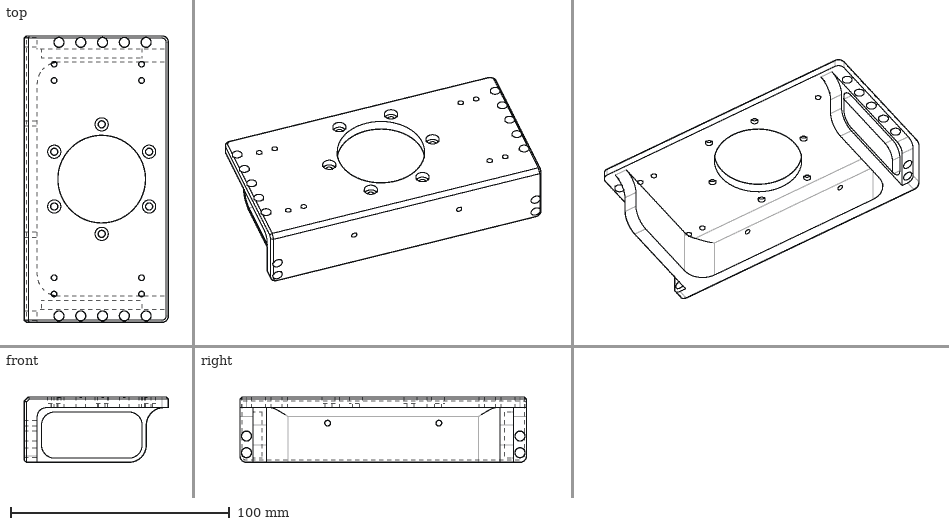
import cadquery as cq
import math

length = 131.0
width = 66.0
height = 30.0
plate_thick = 5.0
wall_thick = 6.0
inner_corner_radius = 4.0
outer_corner_radius = 3.0
ridge_chamfer = 2.0
rim_chamfer = 1.0

gusset_inset = 6.0
gusset_thick = 6.0
gusset_reach = 56.0
gusset_radius = 8.0
gusset_rim = 2.0
pocket_depth = 4.0
wall_blend_radius = 10.0

bore_diameter = 40.0
bore_x = 35.5
ring_radius = 25.0
ring_count = 6
screw_diameter = 3.1
counterbore_diameter = 6.0
counterbore_depth = 3.0

mount_diameter = 4.5
mount_end_distance = 3.0
plate_mount_count = 5
plate_mount_pitch = 10.0
plate_mount_first_x = 16.0
wall_mount_heights = (4.5, 12.0)

pin_diameter = 2.5
plate_pin_xs = (13.8, 53.7)
plate_pin_ys = (45.0, 52.5)
wall_pin_y = 25.4
wall_pin_z = 18.0

half_length = length / 2
plate_underside = height - plate_thick


def make_angle():
    """Plate and wall with rounded corners, the ridge bevel and the outer rim bevel."""
    angle = (
        cq.Workplane("XZ")
        .polyline([
            (0, 0),
            (wall_thick, 0),
            (wall_thick, plate_underside),
            (width, plate_underside),
            (width, height),
            (ridge_chamfer, height),
            (0, height - ridge_chamfer),
        ])
        .close()
        .extrude(half_length, both=True)
    )
    inner_corner = cq.selectors.NearestToPointSelector((wall_thick, 0, plate_underside))
    angle = angle.edges("|Y").edges(inner_corner).fillet(inner_corner_radius)
    angle = angle.faces(">X").edges("|Z").fillet(outer_corner_radius)
    angle = angle.faces("<Z").edges("|X").fillet(outer_corner_radius)

    ridge_face = cq.selectors.NearestToPointSelector((ridge_chamfer / 2, 0, height - ridge_chamfer / 2))
    outer_skin = cq.selectors.StringSyntaxSelector(">Z or <X") + ridge_face
    ridge_edges = cq.selectors.BoxSelector(
        (-rim_chamfer, -rim_chamfer, height - ridge_chamfer - rim_chamfer),
        (ridge_chamfer + rim_chamfer, rim_chamfer, height + rim_chamfer),
    )
    rim = cq.selectors.InverseSelector(ridge_edges)
    return angle.faces(outer_skin).edges(rim).chamfer(rim_chamfer)


def make_gusset():
    """Pocketed gusset at the -Y end, blended into the wall on its inner side."""
    outer_face = -half_length + gusset_inset
    inner_face = outer_face + gusset_thick
    wall_middle = wall_thick / 2
    plate_middle = height - plate_thick / 2
    profile = (
        cq.Workplane("XZ", origin=(0, outer_face, 0))
        .moveTo(wall_middle, 0)
        .lineTo(gusset_reach - gusset_radius, 0)
        .radiusArc((gusset_reach, gusset_radius), -gusset_radius)
        .lineTo(gusset_reach, plate_underside - gusset_radius)
        .radiusArc((gusset_reach + gusset_radius, plate_underside), gusset_radius)
        .lineTo(gusset_reach + gusset_radius, plate_middle)
        .lineTo(wall_middle, plate_middle)
        .close()
    )
    plain = profile.extrude(-gusset_thick)

    blend = (
        cq.Workplane("XY")
        .moveTo(wall_thick, inner_face)
        .lineTo(wall_thick + wall_blend_radius, inner_face)
        .radiusArc((wall_thick, inner_face + wall_blend_radius), wall_blend_radius)
        .close()
        .extrude(plate_underside)
    )

    pocket_left = wall_thick + gusset_rim
    pocket_right = gusset_reach - gusset_rim
    pocket_top = plate_underside - gusset_rim
    pocket = (
        cq.Workplane("XY")
        .box(pocket_right - pocket_left, pocket_depth, pocket_top - gusset_rim, centered=False)
        .edges("|Y")
        .fillet(gusset_radius - gusset_rim)
        .translate((pocket_left, outer_face, gusset_rim))
    )
    return plain.union(blend).cut(pocket)


def plate_holes(points, diameter, depth=plate_thick):
    """Cutters that go down from the top of the plate, through it unless a depth is given."""
    return (
        cq.Workplane("XY", origin=(0, 0, height))
        .pushPoints(points)
        .circle(diameter / 2)
        .extrude(-depth)
    )


def wall_holes(points, diameter):
    """Cutters that go through the wall along X."""
    return cq.Workplane("YZ").pushPoints(points).circle(diameter / 2).extrude(wall_thick)


gusset = make_gusset()
result = make_angle().union(gusset).union(gusset.mirror("XZ"))

ring_points = []
for index in range(ring_count):
    turn = 2 * math.pi * index / ring_count
    ring_points.append((bore_x + ring_radius * math.sin(turn), ring_radius * math.cos(turn)))
result = result.cut(plate_holes([(bore_x, 0)], bore_diameter))
result = result.cut(plate_holes(ring_points, screw_diameter))
result = result.cut(plate_holes(ring_points, counterbore_diameter, counterbore_depth))

mount_y = half_length - mount_end_distance
plate_mount_xs = [plate_mount_first_x + i * plate_mount_pitch for i in range(plate_mount_count)]
for side in (-1, 1):
    plate_mounts = [(x, side * mount_y) for x in plate_mount_xs]
    plate_pins = [(x, side * y) for x in plate_pin_xs for y in plate_pin_ys]
    wall_mounts = [(side * mount_y, z) for z in wall_mount_heights]
    wall_pins = [(side * wall_pin_y, wall_pin_z)]
    result = result.cut(plate_holes(plate_mounts, mount_diameter))
    result = result.cut(plate_holes(plate_pins, pin_diameter))
    result = result.cut(wall_holes(wall_mounts, mount_diameter))
    result = result.cut(wall_holes(wall_pins, pin_diameter))